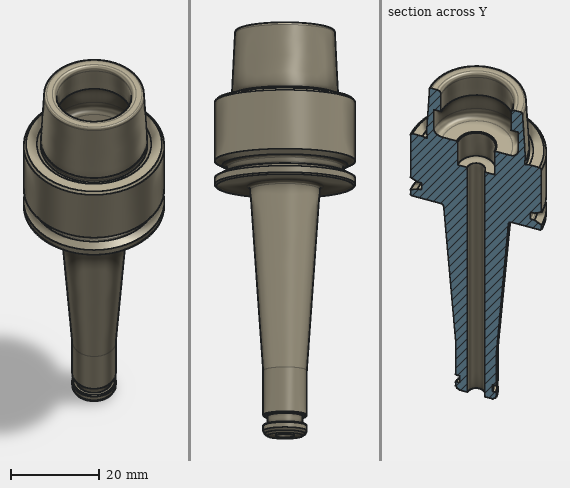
import cadquery as cq
import math

total_length = 93.5

taper_length = 16.0
taper_large_radius = 24.2 / 2
taper_base_height = 78.5
taper_slope = 1 / 20
rim_outer_fillet = 0.6
rim_inner_fillet = 1.0

relief_outer_radius = 13.0
neck_radius = 11.9
neck_top_height = 78.3
relief_depth = 0.3
relief_fillet = 0.3

flange_radius = 32.0 / 2
flange_bottom = 57.6
flange_top_chamfer = 0.6
flange_bottom_chamfer = 0.4
groove_radius = 26.5 / 2
groove_center = 61.4
groove_width = 2.1
groove_floor_fillet = 0.5
groove_chamfer_height = 0.9
groove_chamfer_angle = 28.0

shank_radius = 10.0 / 2
shank_cone_start = 15.1
shank_cone_angle = 4.0
shank_root_fillet = 0.75

tip_neck_radius = 4.0
tip_groove_top = 4.5
tip_groove_bottom = 2.5
tip_edge_chamfer = 0.3
tip_end_radius = 4.0
tip_bevel_radius = 4.7
tip_bevel_bottom = 0.5
tip_bevel_top = 1.1

bore_radius = 17.0 / 2
bore_lip_bottom = 86.8
chamber_radius = 20.5 / 2
chamber_floor = 78.9
chamber_floor_fillet = 2.0

counterbore_radius = 8.9 / 2
counterbore_depth = 7.5
counterbore_chamfer = 0.23
through_radius = 4.2 / 2

flange_face = total_length - taper_length
taper_small_radius = taper_large_radius - taper_slope * (total_length - taper_base_height)


def revolve_profile(profile):
    """Close an (r, z) profile along the axis and turn it a full circle about Z."""
    return profile.close().revolve(360, (0, 0, 0), (0, 1, 0))


def arc_offset(radius):
    """Distance along each axis from the corner of a quarter-round fillet to the middle of its arc."""
    return radius * (1 - math.sqrt(0.5))


def shank_radius_at(height):
    return shank_radius + (height - shank_cone_start) * math.tan(math.radians(shank_cone_angle))


def make_body():
    groove_bottom = groove_center - groove_width / 2
    groove_top = groove_center + groove_width / 2
    groove_mouth_radius = flange_radius - groove_chamfer_height / math.tan(math.radians(groove_chamfer_angle))
    groove_mid = arc_offset(groove_floor_fillet)
    relief_floor = flange_face - relief_depth
    relief_mid = arc_offset(relief_fillet)
    root_height = flange_bottom - shank_root_fillet
    root_radius = shank_radius_at(root_height)
    root_mid = arc_offset(shank_root_fillet)
    rim_mid = arc_offset(rim_outer_fillet)
    rim_radius = taper_small_radius + taper_slope * rim_outer_fillet
    profile = (
        cq.Workplane("XZ")
        .moveTo(0, 0)
        .lineTo(tip_end_radius, 0)
        .lineTo(tip_bevel_radius, tip_bevel_bottom)
        .lineTo(shank_radius, tip_bevel_top)
        .lineTo(shank_radius, tip_groove_bottom - tip_edge_chamfer)
        .lineTo(shank_radius - tip_edge_chamfer, tip_groove_bottom)
        .lineTo(tip_neck_radius, tip_groove_bottom)
        .lineTo(tip_neck_radius, tip_groove_top)
        .lineTo(shank_radius - tip_edge_chamfer, tip_groove_top)
        .lineTo(shank_radius, tip_groove_top + tip_edge_chamfer)
        .lineTo(shank_radius, shank_cone_start)
        .lineTo(root_radius, root_height)
        .threePointArc(
            (root_radius + root_mid, flange_bottom - root_mid),
            (root_radius + shank_root_fillet, flange_bottom),
        )
        .lineTo(flange_radius - flange_bottom_chamfer, flange_bottom)
        .lineTo(flange_radius, flange_bottom + flange_bottom_chamfer)
        .lineTo(flange_radius, groove_bottom - groove_chamfer_height)
        .lineTo(groove_mouth_radius, groove_bottom)
        .lineTo(groove_radius + groove_floor_fillet, groove_bottom)
        .threePointArc(
            (groove_radius + groove_mid, groove_bottom + groove_mid),
            (groove_radius, groove_bottom + groove_floor_fillet),
        )
        .lineTo(groove_radius, groove_top - groove_floor_fillet)
        .threePointArc(
            (groove_radius + groove_mid, groove_top - groove_mid),
            (groove_radius + groove_floor_fillet, groove_top),
        )
        .lineTo(groove_mouth_radius, groove_top)
        .lineTo(flange_radius, groove_top + groove_chamfer_height)
        .lineTo(flange_radius, flange_face - flange_top_chamfer)
        .lineTo(flange_radius - flange_top_chamfer, flange_face)
        .lineTo(relief_outer_radius, flange_face)
        .lineTo(neck_radius + relief_fillet, relief_floor)
        .threePointArc(
            (neck_radius + relief_mid, relief_floor + relief_mid),
            (neck_radius, relief_floor + relief_fillet),
        )
        .lineTo(neck_radius, neck_top_height)
        .lineTo(taper_large_radius, taper_base_height)
        .lineTo(rim_radius, total_length - rim_outer_fillet)
        .threePointArc(
            (rim_radius - rim_mid, total_length - rim_mid),
            (rim_radius - rim_outer_fillet, total_length),
        )
        .lineTo(0, total_length)
    )
    return revolve_profile(profile)


def make_bore():
    counterbore_floor = chamber_floor - counterbore_depth
    floor_mid = arc_offset(chamber_floor_fillet)
    rim_mid = arc_offset(rim_inner_fillet)
    profile = (
        cq.Workplane("XZ")
        .moveTo(0, 0)
        .lineTo(through_radius, 0)
        .lineTo(through_radius, counterbore_floor)
        .lineTo(counterbore_radius, counterbore_floor)
        .lineTo(counterbore_radius, chamber_floor - counterbore_chamfer)
        .lineTo(counterbore_radius + counterbore_chamfer, chamber_floor)
        .lineTo(chamber_radius - chamber_floor_fillet, chamber_floor)
        .threePointArc(
            (chamber_radius - floor_mid, chamber_floor + floor_mid),
            (chamber_radius, chamber_floor + chamber_floor_fillet),
        )
        .lineTo(chamber_radius, bore_lip_bottom)
        .lineTo(bore_radius, bore_lip_bottom)
        .lineTo(bore_radius, total_length - rim_inner_fillet)
        .threePointArc(
            (bore_radius + rim_mid, total_length - rim_mid),
            (bore_radius + rim_inner_fillet, total_length),
        )
        .lineTo(0, total_length)
    )
    return revolve_profile(profile)


result = make_body().cut(make_bore())